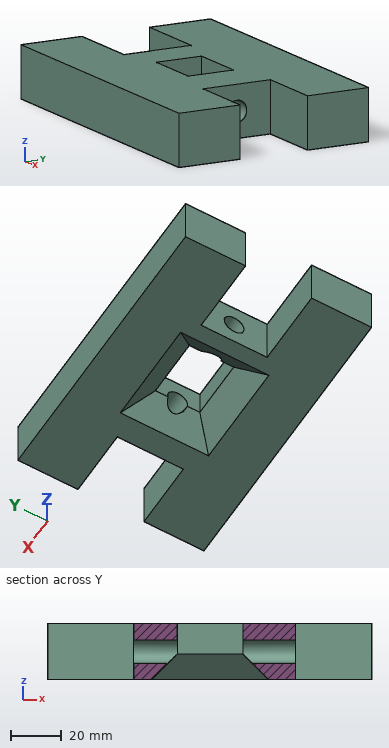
import cadquery as cq

length = 127.5
width = 85.5
height = 22.0

slot_width = 30.3
left_slot_depth = 33.8
right_slot_depth = 30.0

window_length = 25.8
window_width = 20.4
window_start = 51.0

straight_wall_height = 12.0
flare_angle = 45
flare_size = height - straight_wall_height

bore_diameter = 9.0


def vertical_cutter(start, cut_length, cut_width):
    """Full-height box starting a given distance from the left end."""
    center_x = -length / 2 + start + cut_length / 2
    return cq.Workplane("XY").box(cut_length, cut_width, height).translate((center_x, 0, 0))


block = cq.Workplane("XY").box(length, width, height)
left_slot = vertical_cutter(0, left_slot_depth, slot_width)
right_slot = vertical_cutter(length - right_slot_depth, right_slot_depth, slot_width)
window = vertical_cutter(window_start, window_length, window_width)
bore = cq.Workplane("YZ").circle(bore_diameter / 2).extrude(length / 2, both=True)

flare = (
    cq.Workplane("XY", origin=(window.val().Center().x, 0, -height / 2))
    .rect(window_length + 2 * flare_size, window_width + 2 * flare_size)
    .extrude(flare_size, taper=flare_angle)
)

result = block.cut(left_slot).cut(right_slot).cut(window).cut(flare).cut(bore)